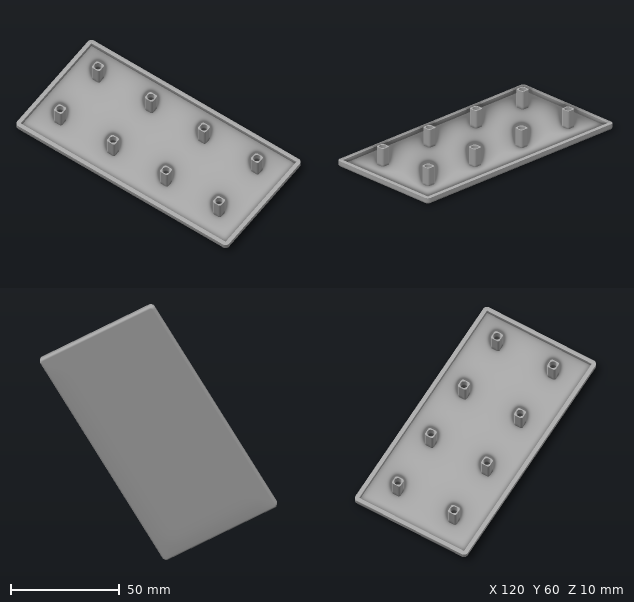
import cadquery as cq

tray_length = 120.0
tray_width = 60.0
tray_height = 3.0
rim_width = 2.0
corner_radius = rim_width
bottom_fillet = 1.0
floor_thickness = 1.0

total_height = 10.0
post_side = 4.5
post_corner_radius = 1.0
post_hole_diameter = 3.5
post_pitch = 30.0
posts_along_x = 4
posts_along_y = 2


def make_tray():
    """Rounded plate, rounded off underneath, with a sharp-cornered recess inside the rim."""
    plate = (
        cq.Workplane("XY")
        .rect(tray_length, tray_width)
        .extrude(tray_height)
        .edges("|Z")
        .fillet(corner_radius)
        .faces("<Z")
        .edges()
        .fillet(bottom_fillet)
    )
    recess = (
        cq.Workplane("XY")
        .workplane(offset=floor_thickness)
        .rect(tray_length - 2 * rim_width, tray_width - 2 * rim_width)
        .extrude(tray_height - floor_thickness)
    )
    return plate.cut(recess)


def make_post():
    """Square pillar with rounded corners and a round bore down to the tray floor."""
    post_height = total_height - floor_thickness
    pillar = (
        cq.Workplane("XY")
        .workplane(offset=floor_thickness)
        .rect(post_side, post_side)
        .extrude(post_height)
        .edges("|Z")
        .fillet(post_corner_radius)
    )
    bore = (
        cq.Workplane("XY")
        .workplane(offset=floor_thickness)
        .circle(post_hole_diameter / 2)
        .extrude(post_height)
    )
    return pillar.cut(bore)


def post_centres():
    """Centres of the post grid, symmetric about the middle of the tray."""
    return [
        ((column - (posts_along_x - 1) / 2) * post_pitch, (row - (posts_along_y - 1) / 2) * post_pitch)
        for column in range(posts_along_x)
        for row in range(posts_along_y)
    ]


result = make_tray()
post = make_post()
for x, y in post_centres():
    result = result.union(post.translate((x, y, 0)))